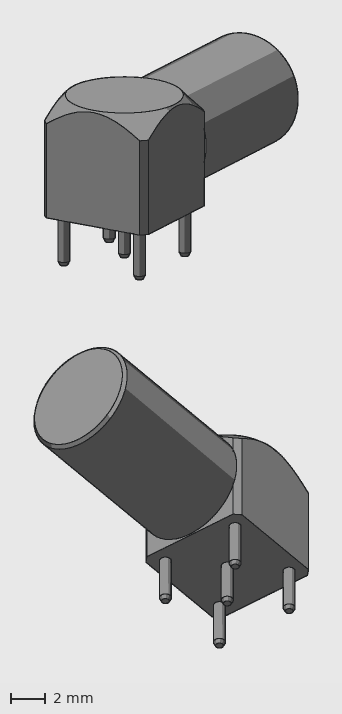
import cadquery as cq
import math

housing_size = 7.0
housing_edge_chamfer = 0.37
top_face_diameter = 6.8

barrel_diameter = 6.8
barrel_length = 10.5
barrel_end_chamfer = 0.2

pin_diameter = 0.7
pin_pitch = 5.08
corner_pin_length = 3.0
center_pin_length = 2.8
pin_tip_length = 0.25
pin_tip_diameter = 0.45

half_size = housing_size / 2


def make_housing():
    """Cube with bevelled upright edges and a 45 degree cone trimming its top."""
    block = cq.Workplane("XY").box(
        housing_size, housing_size, housing_size, centered=(True, True, False)
    )
    block = block.edges("|Z").chamfer(housing_edge_chamfer)

    top_radius = top_face_diameter / 2
    outer_radius = half_size * math.sqrt(2)
    cone_bottom = housing_size - (outer_radius - top_radius)
    envelope = (
        cq.Workplane("XZ")
        .polyline([
            (0, 0),
            (outer_radius, 0),
            (outer_radius, cone_bottom),
            (top_radius, housing_size),
            (0, housing_size),
        ])
        .close()
        .revolve(360, (0, 0, 0), (0, 1, 0))
    )
    return block.intersect(envelope)


def make_barrel():
    """Cylinder from the +Y face of the housing, chamfered at its free end."""
    barrel_axis_height = half_size
    return (
        cq.Workplane("XZ", origin=(0, half_size, barrel_axis_height))
        .circle(barrel_diameter / 2)
        .extrude(-barrel_length)
        .faces(">Y")
        .chamfer(barrel_end_chamfer)
    )


def make_pin(x, y, length):
    """Round pin hanging from the housing underside, tapered at its tip."""
    pin_radius = pin_diameter / 2
    return (
        cq.Workplane("XZ")
        .polyline([
            (0, 0),
            (pin_radius, 0),
            (pin_radius, pin_tip_length - length),
            (pin_tip_diameter / 2, -length),
            (0, -length),
        ])
        .close()
        .revolve(360, (0, 0, 0), (0, 1, 0))
        .translate((x, y, 0))
    )


result = make_housing().union(make_barrel())
result = result.union(make_pin(0, 0, center_pin_length))
for x_side in (-1, 1):
    for y_side in (-1, 1):
        corner_pin = make_pin(x_side * pin_pitch / 2, y_side * pin_pitch / 2, corner_pin_length)
        result = result.union(corner_pin)